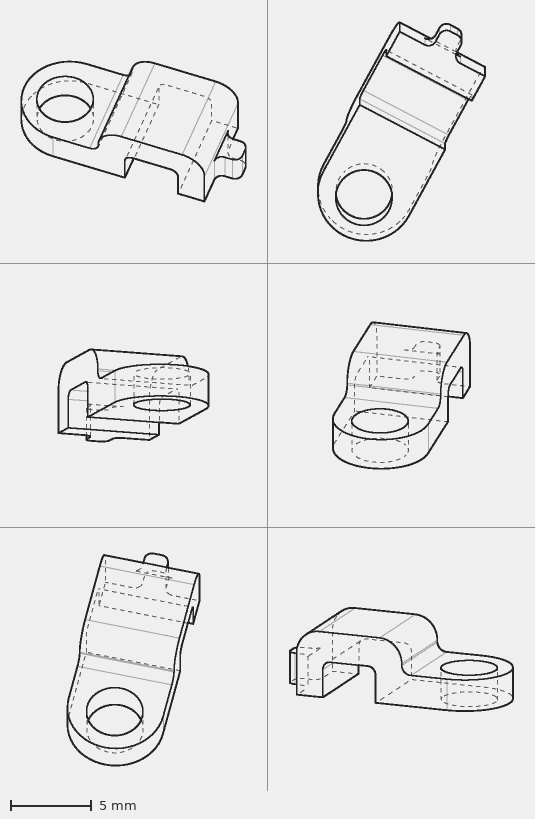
import cadquery as cq

length = 14.5
width = 6.0
height = 4.2

base_thickness = 2.0
end_radius = width / 2
hole_diameter = 3.5
hole_x = 2.7

bridge_start = 6.0
bridge_end = 13.0
bridge_radius = 1.5
foot_radius = 0.6
channel_width = 3.5
channel_height = 2.3
channel_x = (bridge_start + bridge_end) / 2

tab_width = 1.5

small_radius = 0.5


def box(x_start, x_end, y_size, z_size):
    """Block standing on Z = 0 and centred on Y = 0."""
    return cq.Workplane("XY").box(
        x_end - x_start, y_size, z_size, centered=(False, True, False)
    ).translate((x_start, 0, 0))


def make_base():
    """Plate ending in a half circle on the -X side."""
    round_end = cq.Workplane("XY").center(end_radius, 0).circle(end_radius).extrude(base_thickness)
    return box(end_radius, bridge_end, width, base_thickness).union(round_end)


def make_bridge():
    """Raised block with rounded top edges and a fillet where it meets the plate."""
    block = box(bridge_start, bridge_end, width, height)
    block = block.edges("|Y and >Z").fillet(bridge_radius)
    foot = (
        cq.Workplane("XZ", origin=(0, width / 2, 0))
        .moveTo(bridge_start, base_thickness)
        .lineTo(bridge_start, base_thickness + foot_radius)
        .radiusArc((bridge_start - foot_radius, base_thickness), foot_radius)
        .close()
        .extrude(width)
    )
    return block.union(foot)


def make_channel():
    """Cutter for the channel along Y, with rounded upper corners."""
    half_width = channel_width / 2
    cutter = box(channel_x - half_width, channel_x + half_width, width, channel_height)
    return cutter.edges("|Y and >Z").fillet(small_radius)


def make_tab():
    """Tab on the +X wall, with rounded tip and flared root."""
    half_width = tab_width / 2
    root_half_width = half_width + small_radius
    root_end = bridge_end + small_radius
    tip_start = length - small_radius
    tip_half_width = half_width - small_radius
    return (
        cq.Workplane("XY")
        .moveTo(bridge_end, -root_half_width)
        .radiusArc((root_end, -half_width), small_radius)
        .lineTo(tip_start, -half_width)
        .radiusArc((length, -tip_half_width), -small_radius)
        .lineTo(length, tip_half_width)
        .radiusArc((tip_start, half_width), -small_radius)
        .lineTo(root_end, half_width)
        .radiusArc((bridge_end, root_half_width), small_radius)
        .close()
        .extrude(base_thickness)
    )


hole = cq.Workplane("XY").center(hole_x, 0).circle(hole_diameter / 2).extrude(base_thickness)
result = make_base().union(make_bridge()).union(make_tab()).cut(make_channel()).cut(hole)